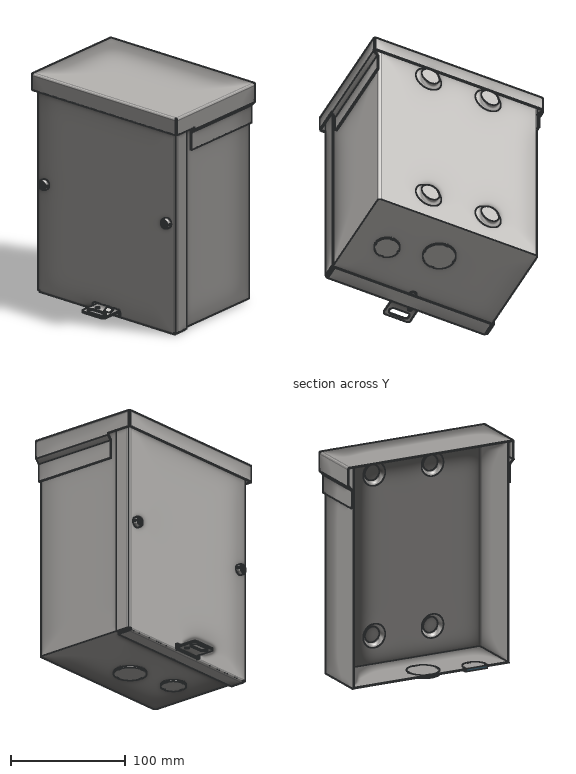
import cadquery as cq
import math


total_height = 206.2
sheet = 1.5

box_width = 154.7
box_rear = 103.3
box_floor = 2.9
box_bend = 2.5

hood_width = 164.8
hood_front = -3.7
hood_depth = 108.7
hood_bend = 1.9
hood_lip_bottom = 190.4
joggle_top = 188.5
joggle_bottom = 184.4
lap_bottom = 168.0
lap_front = 21.5

door_top = 202.1
door_return = 14.8
door_bend = 2.5
door_bottom_bend = 2.0
door_relief = 2.7
tab_slot_length = 32.2
tab_slot_height = 6.2

emboss_spacing = 57.8
emboss_heights = [30.0, 178.0]
emboss_base_radius = 12.4
emboss_top_radius = 8.7
emboss_mid_radius = 10.0
emboss_mid_rise = 1.6
emboss_rise = 4.1

knockout_drop = 1.6
tie_width = 2.5
tie_depth = 0.6
knockout_places = [(0.0, 66.0, 14.5), (45.4, 55.0, 11.1)]

tab_width = 25.5
tab_front = -19.0
tab_rear = 20.6
tab_corner = 2.5
padlock_slot_length = 19.0
padlock_slot_width = 7.5
padlock_slot_corner = 3.3
padlock_slot_y = -12.8
seal_hole_x = -6.2
seal_hole_y = -4.3
seal_hole_radius = 1.9
catch_width = 6.5
catch_x = 6.2
catch_front = -6.5
catch_run = 4.1
catch_rise = 2.5

rivet_y = 14.5
rivet_head_radius = 3.3
rivet_head_height = 0.8
rivet_shank_radius = 2.0

screw_spacing = 138.2
screw_z = 104.0
screw_head_radius = 4.7
screw_head_height = 4.3
screw_rim_height = 1.6
screw_dome_radius = 4.5
screw_dome_height = 3.3
screw_flat_radius = 3.7
screw_shank_radius = 2.0
screw_slot_width = 1.2
screw_slot_depth = 2.5
screw_cross_span = 5.0
screw_cross_width = 1.5

box_top = total_height - sheet
floor_top = box_floor + sheet
door_width = box_width + 2 * sheet
tab_top = floor_top + sheet
knockout_bottom = box_floor - knockout_drop
hood_rear = hood_front + hood_depth
screw_xs = [-screw_spacing / 2, screw_spacing / 2]


def block(x0, x1, y0, y1, z0, z1):
    """Rectangular block between two opposite corners."""
    return cq.Workplane("XY").box(x1 - x0, y1 - y0, z1 - z0, centered=False).translate((x0, y0, z0))


def rod_y(x, z, radius, y0, y1):
    """Cylinder along Y from y0 to y1."""
    return cq.Workplane("XZ", origin=(x, y0, z)).circle(radius).extrude(y0 - y1)


def rod_z(x, y, radius, z0, z1):
    """Cylinder along Z from z0 to z1."""
    return cq.Workplane("XY", origin=(x, y, z0)).circle(radius).extrude(z1 - z0)


def make_knockout(x, y, radius):
    """Slug pushed part way out of the floor, with four rim notches for the ties that hold it."""
    slug = rod_z(0, 0, radius, knockout_bottom, floor_top)
    notch = block(radius - tie_depth, radius + tie_depth, -tie_width / 2, tie_width / 2, 0, floor_top)
    for quarter_turn in (0, 90, 180, 270):
        slug = slug.cut(notch.rotate((0, 0, 0), (0, 0, 1), quarter_turn))
    return slug.translate((x, y, 0))


knockouts = [make_knockout(x, y, radius) for x, y, radius in knockout_places]


def make_rivet():
    head = rod_z(0, rivet_y, rivet_head_radius, box_floor - rivet_head_height, box_floor)
    return head.union(rod_z(0, rivet_y, rivet_shank_radius, box_floor, tab_top))


rivet = make_rivet()


def emboss_form(inset):
    """Flared round boss on the back wall, drawn inward by the inset."""
    base = emboss_base_radius - inset
    middle = (emboss_mid_radius - inset, emboss_mid_rise - inset)
    top = (emboss_top_radius - inset, emboss_rise - inset)
    profile = (
        cq.Workplane("XY")
        .moveTo(0, -inset)
        .lineTo(base, -inset)
        .threePointArc(middle, top)
        .lineTo(0, top[1])
        .close()
    )
    return profile.revolve(360, (0, 0, 0), (0, 1, 0))


def make_box():
    """Tray open at the front and the top, with embossed mounting feet on its back."""
    half = box_width / 2
    body = block(-half, half, sheet, box_rear, box_floor, box_top)
    body = body.edges("|Z and >Y").fillet(box_bend)
    cavity = block(-half + sheet, half - sheet, 0, box_rear - sheet, floor_top, total_height)
    cavity = cavity.edges("|Z and >Y").fillet(box_bend - sheet)
    body = body.cut(cavity)
    for x in (-emboss_spacing / 2, emboss_spacing / 2):
        for z in emboss_heights:
            place = (x, box_rear, z)
            body = body.union(emboss_form(0).translate(place))
            body = body.cut(emboss_form(sheet).translate(place))
    for knockout in knockouts:
        body = body.cut(knockout)
    return body.cut(rivet)


box = make_box()


def side_lap():
    """Strip below the left side of the hood that steps in and lies flat on the box."""
    outer = -hood_width / 2
    inner = -door_width / 2
    slope = math.atan2(inner - outer, joggle_top - joggle_bottom)
    lift = sheet * math.tan(slope / 2)
    points = [
        (outer, hood_lip_bottom),
        (outer, joggle_top),
        (inner, joggle_bottom),
        (inner, lap_bottom),
        (inner + sheet, lap_bottom),
        (inner + sheet, joggle_bottom + lift),
        (outer + sheet, joggle_top + lift),
        (outer + sheet, hood_lip_bottom),
    ]
    strip = cq.Workplane("XZ", origin=(0, lap_front, 0)).polyline(points).close()
    return strip.extrude(lap_front - box_rear)


def make_hood():
    half = hood_width / 2
    hood = block(-half, half, hood_front, hood_rear, hood_lip_bottom, total_height)
    hood = hood.edges(">Z").fillet(hood_bend)
    hood = hood.cut(
        block(-half + sheet, half - sheet, hood_front + sheet, hood_rear - sheet, 0, box_top)
    )
    for x in (-half, half - sheet):
        for y in (hood_front, hood_rear - sheet):
            hood = hood.cut(block(x, x + sheet, y, y + sheet, 0, total_height))
    lap = side_lap()
    return hood.union(lap).union(lap.mirror("YZ"))


hood = make_hood()


def make_door():
    """Shallow pan that slips under the hood lip and wraps the sides and floor of the box."""
    half = door_width / 2
    door = block(-half, half, 0, door_return, 0, door_top)
    door = door.edges("|Z and <Y").fillet(door_bend)
    door = door.edges("<Z and <Y").fillet(door_bottom_bend)
    cavity = block(-half + sheet, half - sheet, sheet, door_return, sheet, door_top)
    door = door.cut(cavity)
    for x in (-half, half - door_relief):
        door = door.cut(block(x, x + door_relief, 0, door_return, 0, door_bottom_bend))
    slot_z = sheet + tab_slot_height / 2
    slot = cq.Workplane("XZ", origin=(0, 0, slot_z)).slot2D(tab_slot_length, tab_slot_height)
    door = door.cut(slot.extrude(-door_bend))
    for x in screw_xs:
        door = door.cut(rod_y(x, screw_z, screw_shank_radius, 0, sheet))
    return door


door = make_door()


def make_tab():
    """Flat strap on the floor that reaches out through the slot in the door."""
    half = tab_width / 2
    tab = block(-half, half, tab_front, tab_rear, floor_top, tab_top)
    tab = tab.edges("|Z and <Y").fillet(tab_corner)
    padlock_slot = cq.Workplane("XY", origin=(0, padlock_slot_y, floor_top))
    padlock_slot = padlock_slot.rect(padlock_slot_length, padlock_slot_width).extrude(sheet)
    tab = tab.cut(padlock_slot.edges("|Z").fillet(padlock_slot_corner))
    tab = tab.cut(rod_z(seal_hole_x, seal_hole_y, seal_hole_radius, floor_top, tab_top))
    slope = math.atan2(catch_rise, catch_run)
    peak = (catch_front + catch_run, tab_top + catch_rise)
    points = [
        (catch_front, tab_top),
        peak,
        (peak[0] + sheet * math.sin(slope), peak[1] - sheet * math.cos(slope)),
        (catch_front + sheet / math.sin(slope), tab_top),
    ]
    catch = cq.Workplane("YZ", origin=(catch_x - catch_width / 2, 0, 0)).polyline(points).close()
    return tab.union(catch.extrude(catch_width)).cut(rivet)


tab = make_tab()


def make_screw(x):
    """Domed head with a slot and cross recess, and a plain shank through the door."""
    dome_middle = (screw_dome_radius, -screw_dome_height)
    profile = (
        cq.Workplane("XY")
        .moveTo(0, sheet)
        .lineTo(screw_shank_radius, sheet)
        .lineTo(screw_shank_radius, 0)
        .lineTo(screw_head_radius, 0)
        .lineTo(screw_head_radius, -screw_rim_height)
        .threePointArc(dome_middle, (screw_flat_radius, -screw_head_height))
        .lineTo(0, -screw_head_height)
        .close()
    )
    screw = profile.revolve(360, (0, 0, 0), (0, 1, 0))
    recesses = [
        (2 * screw_head_radius, screw_slot_width),
        (screw_cross_span, screw_cross_width),
        (screw_cross_width, screw_cross_span),
    ]
    for span, width in recesses:
        recess = cq.Workplane("XZ", origin=(0, -screw_head_height, 0)).rect(span, width)
        screw = screw.cut(recess.extrude(-screw_slot_depth))
    return screw.translate((x, 0, screw_z))


screws = [make_screw(x) for x in screw_xs]

result = cq.Compound.makeCompound(
    [box.val(), hood.val(), door.val(), tab.val(), rivet.val()]
    + [screw.val() for screw in screws]
    + [knockout.val() for knockout in knockouts]
)